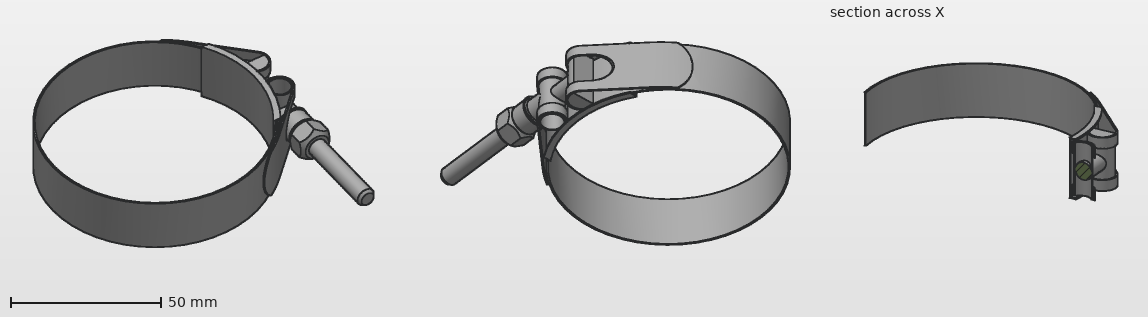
import cadquery as cq
import math

RING_OUTER_R = 40.6
STRIP_T = 0.6
BAND_HALF_H = 9.7
RING_INNER_R = RING_OUTER_R - STRIP_T

BOLT_Y = 44.5

LOOP_OUTER_R = 5.1
LOOP_INNER_R = LOOP_OUTER_R - STRIP_T
LOOP_X = math.sqrt((RING_INNER_R + LOOP_OUTER_R) ** 2 - BOLT_Y**2)
LOOP_CENTER = (LOOP_X, BOLT_Y)
JOIN_ANGLE = math.degrees(math.atan2(BOLT_Y, LOOP_X))

STRAP_ANGLE = 45.0
STRAP_LENGTH = 23.7
TAIL_OUTER_R = 45.4
TAIL_SWEEP = 17.6
TAIL_END_R = 11.8

SLOT_HALF_W = 5.7
SLOT_LOW_Y = BOLT_Y - 4.1
SLOT_TOP_Y = BOLT_Y + 2 * LOOP_OUTER_R
LEFT_SLOT_CENTER_Y = 45.8
RIGHT_SLOT_CENTER_Y = BOLT_Y

BRIDGE_HALF_W = 22.0
BRIDGE_HALF_H = 11.0
BRIDGE_T = 0.6
FLANGE_OUTER_R = 41.8

SOLID_TRUNNION_FLAT_X = -8.6
TUBE_INNER_R = 4.0
SLEEVE_R = 4.4

BOLT_R = 3.3
BOLT_END_X = 102.0 - RING_OUTER_R
BOLT_CHAMFER_LENGTH = 1.2
BOLT_CHAMFER_DEPTH = 0.8

NUT_START_X = 15.2
RIM_T = 0.4
RIM_R = 5.6
COLLAR_R = 5.4
COLLAR_CHAMFER = 0.4
HEX_START_X = 22.1
HEX_END_X = 30.5
HEX_FLATS = 11.4
HEX_FRONT_R = 5.1
HEX_BACK_R = 4.6


def polar(radius, angle, center=(0.0, 0.0)):
    turn = math.radians(angle)
    return (center[0] + radius * math.cos(turn), center[1] + radius * math.sin(turn))


def z_cylinder(radius, half_height, center=(0.0, 0.0)):
    return cq.Workplane("XY").center(*center).circle(radius).extrude(half_height, both=True)


def x_cylinder(radius, start_x, end_x):
    plane = cq.Plane(origin=(start_x, BOLT_Y, 0), xDir=(0, 1, 0), normal=(1, 0, 0))
    return cq.Workplane(plane).circle(radius).extrude(end_x - start_x)


def x_turned(profile):
    """Turn a profile of (x, radius) points about the bolt axis."""
    plane = cq.Plane(origin=(0, BOLT_Y, 0), xDir=(1, 0, 0), normal=(0, 0, 1))
    return cq.Workplane(plane).polyline(profile).close().revolve(360, (0, 0, 0), (1, 0, 0))


def make_ring():
    """Open ring, broken at the top between the points where the loops start."""
    gap_end_angle = 180 - JOIN_ANGLE
    return (
        cq.Workplane("XY")
        .moveTo(*polar(RING_OUTER_R, gap_end_angle))
        .threePointArc(polar(RING_OUTER_R, -90), polar(RING_OUTER_R, JOIN_ANGLE))
        .lineTo(*polar(RING_INNER_R, JOIN_ANGLE))
        .threePointArc(polar(RING_INNER_R, -90), polar(RING_INNER_R, gap_end_angle))
        .close()
        .extrude(BAND_HALF_H, both=True)
    )


def make_loop(slot_center_y):
    """Right loop with its strap, rounded tail and window."""
    start_angle = JOIN_ANGLE + 180
    loop_middle = (start_angle + STRAP_ANGLE) / 2
    down_angle = STRAP_ANGLE - 90
    strap_top = polar(LOOP_OUTER_R, STRAP_ANGLE, LOOP_CENTER)
    strap_end = polar(STRAP_LENGTH, down_angle, strap_top)
    tail_center = polar(-TAIL_OUTER_R, STRAP_ANGLE, strap_end)
    tail_inner_r = TAIL_OUTER_R - STRIP_T
    tail_middle = STRAP_ANGLE - TAIL_SWEEP / 2
    tip_angle = STRAP_ANGLE - TAIL_SWEEP

    strip = (
        cq.Workplane("XY")
        .moveTo(*polar(LOOP_INNER_R, start_angle, LOOP_CENTER))
        .threePointArc(
            polar(LOOP_INNER_R, loop_middle, LOOP_CENTER),
            polar(LOOP_INNER_R, STRAP_ANGLE, LOOP_CENTER),
        )
        .lineTo(*polar(tail_inner_r, STRAP_ANGLE, tail_center))
        .threePointArc(
            polar(tail_inner_r, tail_middle, tail_center),
            polar(tail_inner_r, tip_angle, tail_center),
        )
        .lineTo(*polar(TAIL_OUTER_R, tip_angle, tail_center))
        .threePointArc(polar(TAIL_OUTER_R, tail_middle, tail_center), strap_end)
        .lineTo(*strap_top)
        .threePointArc(
            polar(LOOP_OUTER_R, loop_middle, LOOP_CENTER),
            polar(LOOP_OUTER_R, start_angle, LOOP_CENTER),
        )
        .close()
        .extrude(BAND_HALF_H, both=True)
    )
    strip = strip.cut(tail_corners(polar(TAIL_OUTER_R, tip_angle, tail_center), tip_angle))
    return strip.cut(loop_window(strap_top[0])).cut(strap_window(strap_top[0], slot_center_y))


def tail_corners(tip, tip_angle):
    """Material outside the round end of the tail; local x runs along the tail to its tip."""
    along = polar(1, tip_angle - 90)
    outward = polar(1, tip_angle)
    plane = cq.Plane(origin=(*tip, 0), xDir=(*along, 0), normal=(*outward, 0))
    block = (
        cq.Workplane(plane)
        .center(-TAIL_END_R / 2, 0)
        .rect(TAIL_END_R, 2 * TAIL_END_R)
        .extrude(2 * STRIP_T, both=True)
    )
    disc = cq.Workplane(plane).center(-TAIL_END_R, 0).circle(TAIL_END_R).extrude(2 * STRIP_T, both=True)
    return block.cut(disc)


def loop_window(end_x):
    """Opening through the bolt side and the top of the loop."""
    start_x = LOOP_X - 2 * LOOP_OUTER_R
    return (
        cq.Workplane("XY")
        .moveTo(start_x, SLOT_LOW_Y)
        .lineTo(end_x, SLOT_LOW_Y)
        .lineTo(end_x, SLOT_TOP_Y)
        .lineTo(start_x, SLOT_TOP_Y)
        .close()
        .extrude(SLOT_HALF_W, both=True)
    )


def strap_window(start_x, slot_center_y):
    """Opening cut along X through the strap, with a round lower end."""
    return (
        cq.Workplane("YZ", origin=(start_x, 0, 0))
        .moveTo(SLOT_TOP_Y, -SLOT_HALF_W)
        .lineTo(slot_center_y, -SLOT_HALF_W)
        .threePointArc((slot_center_y - SLOT_HALF_W, 0), (slot_center_y, SLOT_HALF_W))
        .lineTo(SLOT_TOP_Y, SLOT_HALF_W)
        .close()
        .extrude(STRAP_LENGTH)
    )


def make_band():
    right_loop = make_loop(RIGHT_SLOT_CENTER_Y)
    left_loop = make_loop(LEFT_SLOT_CENTER_Y).mirror("YZ")
    return make_ring().union(right_loop).union(left_loop)


def make_bridge():
    web_inner_r = RING_INNER_R - BRIDGE_T
    blank = z_cylinder(FLANGE_OUTER_R, BRIDGE_HALF_H).cut(z_cylinder(web_inner_r, BRIDGE_HALF_H))
    channel_half_h = BRIDGE_HALF_H - BRIDGE_T
    channel = z_cylinder(FLANGE_OUTER_R, channel_half_h).cut(z_cylinder(RING_INNER_R, channel_half_h))
    span = (
        cq.Workplane("XY")
        .center(0, FLANGE_OUTER_R / 2)
        .rect(2 * BRIDGE_HALF_W, FLANGE_OUTER_R)
        .extrude(BRIDGE_HALF_H, both=True)
    )
    return blank.cut(channel).intersect(span)


def make_solid_trunnion():
    round_bar = z_cylinder(LOOP_INNER_R, BAND_HALF_H, (-LOOP_X, BOLT_Y))
    kept_side = (
        cq.Workplane("XY")
        .center(SOLID_TRUNNION_FLAT_X + LOOP_OUTER_R, BOLT_Y)
        .rect(2 * LOOP_OUTER_R, 2 * LOOP_OUTER_R)
        .extrude(BAND_HALF_H, both=True)
    )
    bolt_hole = x_cylinder(BOLT_R, -LOOP_X, 0)
    return round_bar.intersect(kept_side).cut(bolt_hole)


def make_tube_trunnion():
    tube = z_cylinder(LOOP_INNER_R, BAND_HALF_H, LOOP_CENTER)
    sleeve = x_cylinder(SLEEVE_R, LOOP_X, NUT_START_X)
    bore = z_cylinder(TUBE_INNER_R, BAND_HALF_H, LOOP_CENTER)
    bolt_hole = x_cylinder(BOLT_R, 0, NUT_START_X)
    return tube.union(sleeve).cut(bore).cut(bolt_hole)


def make_bolt():
    return x_turned(
        [
            (-LOOP_X, 0),
            (-LOOP_X, BOLT_R),
            (BOLT_END_X - BOLT_CHAMFER_LENGTH, BOLT_R),
            (BOLT_END_X, BOLT_R - BOLT_CHAMFER_DEPTH),
            (BOLT_END_X, 0),
        ]
    )


def make_nut():
    rim_end_x = NUT_START_X + RIM_T
    collar = x_turned(
        [
            (NUT_START_X, 0),
            (NUT_START_X, RIM_R),
            (rim_end_x, RIM_R),
            (rim_end_x, COLLAR_R - COLLAR_CHAMFER),
            (rim_end_x + COLLAR_CHAMFER, COLLAR_R),
            (HEX_START_X - COLLAR_CHAMFER, COLLAR_R),
            (HEX_START_X, COLLAR_R - COLLAR_CHAMFER),
            (HEX_START_X, 0),
        ]
    )
    corner_r = HEX_FLATS / math.sqrt(3)
    plane = cq.Plane(origin=(HEX_START_X, BOLT_Y, 0), xDir=(0, 0, 1), normal=(1, 0, 0))
    hexagon = cq.Workplane(plane).polygon(6, 2 * corner_r).extrude(HEX_END_X - HEX_START_X)
    envelope = x_turned(
        [
            (HEX_START_X, 0),
            (HEX_START_X, HEX_FRONT_R),
            (HEX_START_X + corner_r - HEX_FRONT_R, corner_r),
            (HEX_END_X - corner_r + HEX_BACK_R, corner_r),
            (HEX_END_X, HEX_BACK_R),
            (HEX_END_X, 0),
        ]
    )
    bolt_hole = x_cylinder(BOLT_R, NUT_START_X, HEX_END_X)
    return collar.union(hexagon.intersect(envelope)).cut(bolt_hole)


band = make_band()
bridge = make_bridge()
solid_trunnion = make_solid_trunnion()
tube_trunnion = make_tube_trunnion()
bolt = make_bolt()
nut = make_nut()

bodies = [band, bridge, solid_trunnion, tube_trunnion, bolt, nut]
result = cq.Compound.makeCompound([body.solids().val() for body in bodies])